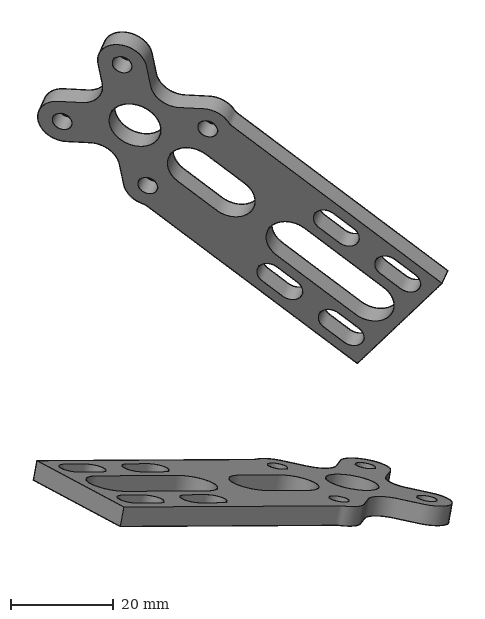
import cadquery as cq
import math

thickness = 4.0
tilt = 35.0
plate_width = 30.0

bolt_circle_radius = 15.0
bolt_offset = bolt_circle_radius / math.sqrt(2)
boss_radius = 5.0
bolt_hole_diameter = 4.0
pilot_diameter = 10.5
arm_fillet = 5.0
shoulder_fillet = 2.5

inner_bolt_to_end = 55.0
plate_end = bolt_offset + inner_bolt_to_end

large_slot_width = 10.0
short_slot_center = 18.9
short_slot_spacing = 9.5
long_slot_center = 48.35
long_slot_spacing = 19.5

mount_slot_width = 5.2
mount_slot_spacing = 5.0
mount_slot_centers = (42.9, 58.1)
mount_slot_offset = 10.0

SIDES = (-1, 1)


def circle_point(center, radius, angle):
    """Point on a circle, with the angle in degrees from the long axis."""
    turn = math.radians(angle)
    return (center[0] + radius * math.cos(turn), center[1] + radius * math.sin(turn))


def draw_arc(outline, center, radius, start, end):
    """Continue the outline along an arc from its current point, at the start angle."""
    middle = circle_point(center, radius, (start + end) / 2)
    return outline.threePointArc(middle, circle_point(center, radius, end))


def make_plate():
    """Outline above the long axis, closed along it, extruded and joined with its mirror image."""
    crotch_distance = (boss_radius + arm_fillet) * math.sqrt(2)

    edge_y = plate_width / 2
    shoulder_y = edge_y + shoulder_fillet
    shoulder_rise = shoulder_y - bolt_offset
    touch_turn = math.asin(shoulder_rise / (boss_radius + shoulder_fillet))
    shoulder_x = bolt_offset + shoulder_rise / math.tan(touch_turn)
    touch_angle = math.degrees(touch_turn)

    arm_arcs = [
        ((-crotch_distance, 0), arm_fillet, 0, 45),
        ((-bolt_offset, bolt_offset), boss_radius, 225, 45),
        ((0, crotch_distance), arm_fillet, 225, 315),
        ((bolt_offset, bolt_offset), boss_radius, 135, touch_angle),
    ]
    outline = cq.Workplane("XY").moveTo(0, 0)
    for center, radius, start, end in arm_arcs:
        outline = outline.lineTo(*circle_point(center, radius, start))
        outline = draw_arc(outline, center, radius, start, end)
    outline = draw_arc(outline, (shoulder_x, shoulder_y), shoulder_fillet, 180 + touch_angle, 270)
    outline = outline.lineTo(plate_end, edge_y).lineTo(plate_end, 0).close()

    half = outline.extrude(thickness)
    return half.union(half.mirror("XZ")).clean()


def cut_holes(body, points, diameter):
    return body.cut(cq.Workplane("XY").pushPoints(points).circle(diameter / 2).extrude(thickness))


def cut_slots(body, points, spacing, width):
    tool = cq.Workplane("XY").pushPoints(points).slot2D(spacing + width, width)
    return body.cut(tool.extrude(thickness))


bolt_points = [(i * bolt_offset, j * bolt_offset) for i in SIDES for j in SIDES]
mount_points = [(x, side * mount_slot_offset) for x in mount_slot_centers for side in SIDES]

body = make_plate()
body = cut_holes(body, [(0, 0)], pilot_diameter)
body = cut_holes(body, bolt_points, bolt_hole_diameter)
body = cut_slots(body, [(short_slot_center, 0)], short_slot_spacing, large_slot_width)
body = cut_slots(body, [(long_slot_center, 0)], long_slot_spacing, large_slot_width)
body = cut_slots(body, mount_points, mount_slot_spacing, mount_slot_width)

upright = body.rotate((0, 0, 0), (1, 0, 0), 90)
result = upright.rotate((0, 0, 0), (0, 1, 0), tilt)